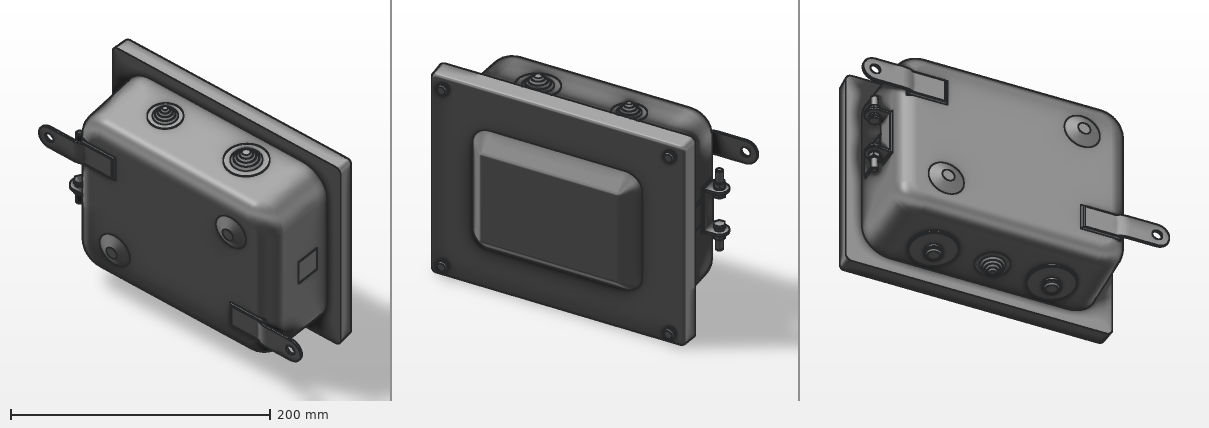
import cadquery as cq
import math


overall_length = 259.0
overall_depth = 100.0
cover_top_y = overall_depth / 2
strap_outer_y = -overall_depth / 2
flange_back_y = 20.5
flange_top_y = 36.3
box_face_y = -45.8

embed = 1.3

wall_half_x = 99.2
wall_half_z = 79.3
wall_corner_radius = 24.3
wall_draft = 2.0
box_edge_radius = 14.8

flange_length = 225.8
flange_height = 185.0
flange_corner_radius = 5.5
flange_draft = 4.0
flange_edge_radius = 2.8
panel_length = 149.7
panel_height = 108.3
panel_corner_radius = 15.0
panel_draft = 45.0
panel_edge_radius = 3.5

screw_x = 100.0
screw_z = 80.8
screw_washer_diameter = 10.0
screw_washer_top = 1.5
screw_head_diameter = 9.5
screw_shoulder = 3.4
screw_tip_diameter = 6.7
screw_top = 4.7

gland_y = -5.0
gland_flange_thickness = 0.8
small_gland_diameter = 28.2
small_tiers = (20.0, 15.5, 11.5, 7.5)
small_tip = 4.7
large_gland_diameter = 36.0
large_tiers = (25.0, 19.5, 14.8, 10.0)
large_tip = 6.7
tier_height = 2.0
tier_ledge = 0.5
small_gland_x = -40.5
large_gland_x = 40.0

stud_gland_x = 50.0
stud_flange_diameter = 40.0
stud_flange_thickness = 2.5
stud_collar_diameter = 14.0
stud_collar_top = 5.0
stud_diameter = 12.7
stud_tip_diameter = 9.5
stud_shoulder = 6.7
stud_height = 8.5
stud_flange_bevel = 0.8

mount_z = 42.7
foot_x = 57.5
foot_diameter = 30.0
foot_tip_diameter = 10.4
strap_width = 20.5
strap_thickness = 2.0
strap_hole_diameter = 8.5
strap_inner_end = 59.3
bend_inner_x = 85.0
bend_middle_x = 87.3
bend_outer_x = 95.0
strap_pad_inner = 56.5
strap_pad_outer = 90.5
strap_pad_width = 23.8
strap_pad_root_y = -44.0
strap_pad_rise = 1.3

plate_length = 26.5
plate_width = 21.2
plate_thickness = 1.5
plate_bead = 1.3
plain_plate_size = 22.3
plain_plate_thickness = 0.5
plain_plate_y = -2.5

lug_y = -24.5
lug_width = 15.5
lug_tab_radius = lug_width / 2 - 0.03
lug_reach = 19.2
lug_span = 40.1
lug_thickness = 2.0
lug_bend_radius = 3.0
lug_bead = 1.0
bolt_reach = lug_reach - lug_width / 2
bolt_diameter = 6.0
bolt_start = 12.7
bolt_end = 36.5
bolt_tip_chamfer = 0.8
hex_across_flats = 8.5
head_height = 2.5
collar_diameter = 7.5
nut_start = 21.2
nut_end = 25.6
nut_chamfer = 0.8
washer_diameter = 8.5


def y_plane(y, outward):
    """Plane at a given Y whose normal points along outward (+1 or -1) Y."""
    return cq.Plane(origin=(0, y, 0), xDir=(1, 0, 0), normal=(0, outward, 0))


def wall_plane(side, along, y):
    """Plane on a drafted box wall: side is "+X", "-X", "+Z" or "-Z", along is the place along the wall."""
    sign = 1 if side[0] == "+" else -1
    slope = math.radians(wall_draft)
    inset = (flange_back_y - y) * math.tan(slope)
    if side[1] == "X":
        origin = (sign * (wall_half_x - inset), y, along)
        return cq.Plane(origin, (0, 0, 1), (sign * math.cos(slope), -math.sin(slope), 0))
    origin = (along, y, sign * (wall_half_z - inset))
    return cq.Plane(origin, (1, 0, 0), (0, -math.sin(slope), sign * math.cos(slope)))


def tapered_block(plane, length, height, corner_radius, rise, draft):
    block = cq.Sketch().rect(length, height).vertices().fillet(corner_radius)
    return cq.Workplane(plane).placeSketch(block).extrude(rise, taper=draft)


def turned(points, plane):
    """Solid of revolution about the plane normal, from (radius, height) points."""
    profile = cq.Workplane("XZ").polyline([(0, points[0][1])] + points + [(0, points[-1][1])]).close()
    solid = profile.revolve(360, (0, 0, 0), (0, 1, 0))
    return cq.Workplane(solid.val().moved(cq.Location(plane)))


def offset_origin(plane, x, z):
    """The same plane moved to another X and Z."""
    return cq.Plane((x, plane.origin.y, z), plane.xDir, plane.zDir)


def box_body():
    depth = flange_back_y - box_face_y
    block = tapered_block(
        y_plane(flange_back_y, -1), 2 * wall_half_x, 2 * wall_half_z, wall_corner_radius, depth, wall_draft
    )
    return block.faces("<Y").edges().fillet(box_edge_radius)


def cover():
    flange = tapered_block(
        y_plane(flange_back_y, 1),
        flange_length,
        flange_height,
        flange_corner_radius,
        flange_top_y - flange_back_y,
        flange_draft,
    )
    flange = flange.faces(">Y").edges().fillet(flange_edge_radius)
    panel = tapered_block(
        y_plane(flange_top_y, 1),
        panel_length,
        panel_height,
        panel_corner_radius,
        cover_top_y - flange_top_y,
        panel_draft,
    )
    panel = panel.faces(">Y").edges().fillet(panel_edge_radius)
    return flange.union(panel)


def cover_screw(x, z):
    profile = [
        (screw_washer_diameter / 2, -embed),
        (screw_washer_diameter / 2, screw_washer_top),
        (screw_head_diameter / 2, screw_washer_top),
        (screw_head_diameter / 2, screw_shoulder),
        (screw_tip_diameter / 2, screw_top),
    ]
    return turned(profile, offset_origin(y_plane(flange_top_y, 1), x, z))


def stepped_gland(plane, flange_diameter, tiers, tip):
    """Round flange under a cone of stepped, tapering tiers."""
    profile = [(flange_diameter / 2, -embed), (flange_diameter / 2, gland_flange_thickness)]
    height = gland_flange_thickness
    for lower, upper in zip(tiers, tiers[1:] + (tip,)):
        profile.append((lower / 2, height))
        height += tier_height
        top_ledge = 0 if upper == tip else tier_ledge
        profile.append((upper / 2 + top_ledge, height))
    return turned(profile, plane)


def stud_gland(plane):
    rim = stud_flange_diameter / 2
    profile = [
        (rim, -embed),
        (rim, stud_flange_thickness - stud_flange_bevel),
        (rim - stud_flange_bevel, stud_flange_thickness),
        (stud_collar_diameter / 2, stud_flange_thickness),
        (stud_collar_diameter / 2, stud_collar_top),
        (stud_diameter / 2, stud_collar_top),
        (stud_diameter / 2, stud_shoulder),
        (stud_tip_diameter / 2, stud_height),
    ]
    return turned(profile, plane)


def foot(x, z):
    profile = [
        (foot_diameter / 2, -embed),
        (foot_diameter / 2, 0),
        (foot_tip_diameter / 2, box_face_y - strap_outer_y),
    ]
    return turned(profile, offset_origin(y_plane(box_face_y, -1), x, z))


def mounting_strap():
    """Joggled strap on the -X side at +Z, with its weld pad."""
    end_x = -overall_length / 2
    hole_x = end_x + strap_width / 2
    bend_part = (bend_outer_x - bend_middle_x) / (bend_outer_x - bend_inner_x)
    outer_mid_y = strap_outer_y + bend_part * strap_thickness
    seat_outer_y = strap_outer_y + strap_thickness
    strap = (
        cq.Workplane("XY", origin=(0, 0, mount_z - strap_width / 2))
        .moveTo(end_x, strap_outer_y)
        .lineTo(-bend_outer_x, strap_outer_y)
        .tangentArcPoint((-bend_middle_x, outer_mid_y), relative=False)
        .tangentArcPoint((-bend_inner_x, seat_outer_y), relative=False)
        .lineTo(-strap_inner_end, seat_outer_y)
        .lineTo(-strap_inner_end, seat_outer_y + strap_thickness)
        .lineTo(-bend_inner_x, seat_outer_y + strap_thickness)
        .tangentArcPoint((-bend_middle_x, outer_mid_y + strap_thickness), relative=False)
        .tangentArcPoint((-bend_outer_x, seat_outer_y), relative=False)
        .lineTo(end_x, seat_outer_y)
        .close()
        .extrude(strap_width)
    )
    rounded_outline = (
        cq.Workplane(y_plane(0, -1))
        .center((end_x - strap_inner_end) / 2, mount_z)
        .slot2D(-end_x - strap_inner_end + strap_width, strap_width)
        .extrude(overall_depth)
        .translate((strap_width / 2, 0, 0))
    )
    hole = (
        cq.Workplane(y_plane(0, -1))
        .center(hole_x, mount_z)
        .circle(strap_hole_diameter / 2)
        .extrude(overall_depth)
    )
    pad_height = strap_pad_root_y - box_face_y + strap_pad_rise
    pad = (
        cq.Workplane(y_plane(strap_pad_root_y, -1))
        .center(-(strap_pad_inner + strap_pad_outer) / 2, mount_z)
        .rect(strap_pad_outer - strap_pad_inner, strap_pad_width)
        .extrude(pad_height)
        .faces("<Y")
        .chamfer(strap_pad_rise)
    )
    return strap.intersect(rounded_outline).cut(hole).union(pad)


def weld_bead(plane, length, width, bead):
    """Fillet weld round a rectangle: a low block with 45 degree sides, rooted in the wall."""
    root = cq.Workplane(plane).rect(length + 2 * bead, width + 2 * bead).extrude(-embed)
    rim = cq.Workplane(plane).rect(length + 2 * bead, width + 2 * bead).extrude(bead, taper=45)
    return root.union(rim)


def wall_plate(plane, length, width, thickness):
    return cq.Workplane(plane).workplane(offset=-embed).rect(length, width).extrude(embed + thickness)


def bolt_set():
    """Bolt, collar, washer and nut on the upper tab, pointing up."""
    wall = wall_plane("-X", 0, lug_y)
    centre = wall.toWorldCoords((0, 0, bolt_reach))

    def level(z):
        return cq.Workplane("XY", origin=(centre.x, centre.y, z))

    hex_diameter = hex_across_flats / math.cos(math.radians(30))
    tab_inner = lug_span / 2 - lug_thickness
    stem = level(bolt_start).circle(bolt_diameter / 2).extrude(bolt_end - bolt_start)
    stem = stem.faces(">Z").chamfer(bolt_tip_chamfer)
    head = level(bolt_start).polygon(6, hex_diameter).extrude(head_height)
    collar_start = bolt_start + head_height
    collar = level(collar_start).circle(collar_diameter / 2).extrude(tab_inner - collar_start)
    washer = level(tab_inner).circle(washer_diameter / 2).extrude(nut_start - tab_inner)
    nut_blank = level(nut_start).circle(hex_diameter / 2).extrude(nut_end - nut_start)
    nut_blank = nut_blank.faces(">Z").chamfer(nut_chamfer)
    nut = level(nut_start).polygon(6, hex_diameter).extrude(nut_end - nut_start).intersect(nut_blank)
    return stem.union(head).union(collar).union(washer).union(nut)


def bolt_lug():
    """U-shaped sheet lug with rounded tabs, welded to the -X wall."""
    wall = wall_plane("-X", 0, lug_y)
    channel = (
        cq.Workplane("XY")
        .box(lug_span, lug_width, lug_reach, centered=(True, True, False))
        .edges("|Y and <Z")
        .fillet(lug_bend_radius)
    )
    inside = (
        cq.Workplane("XY", origin=(0, 0, lug_thickness))
        .box(lug_span - 2 * lug_thickness, lug_width, lug_reach, centered=(True, True, False))
        .edges("|Y and <Z")
        .fillet(lug_bend_radius - lug_thickness)
    )
    channel = channel.cut(inside).edges("|X and >Z").fillet(lug_tab_radius)
    channel = cq.Workplane(channel.val().moved(cq.Location(wall)))
    return channel.union(weld_bead(wall, lug_span, lug_width, lug_bead))


result = box_body().union(cover())

for x_side in (-1, 1):
    for z_side in (-1, 1):
        result = result.union(cover_screw(x_side * screw_x, z_side * screw_z))

result = result.union(
    stepped_gland(wall_plane("+Z", small_gland_x, gland_y), small_gland_diameter, small_tiers, small_tip)
)
result = result.union(
    stepped_gland(wall_plane("+Z", large_gland_x, gland_y), large_gland_diameter, large_tiers, large_tip)
)
result = result.union(
    stepped_gland(wall_plane("-Z", 0, gland_y), small_gland_diameter, small_tiers, small_tip)
)
for side in (-1, 1):
    result = result.union(stud_gland(wall_plane("-Z", side * stud_gland_x, gland_y)))

strap = mounting_strap()
for turn in (0, 180):
    result = result.union(strap.rotate((0, 0, 0), (0, 1, 0), turn))
for side in (-1, 1):
    result = result.union(foot(side * foot_x, side * mount_z))

earth_plane = wall_plane("-X", 0, 0)
result = result.union(weld_bead(earth_plane, plate_width, plate_length, plate_bead))
result = result.union(wall_plate(earth_plane, plate_width, plate_length, plate_thickness))
plain_plane = wall_plane("+X", 0, plain_plate_y)
result = result.union(wall_plate(plain_plane, plain_plate_size, plain_plate_size, plain_plate_thickness))

result = result.union(bolt_lug())
upper_bolt = bolt_set()
result = result.union(upper_bolt).union(upper_bolt.mirror("XY"))